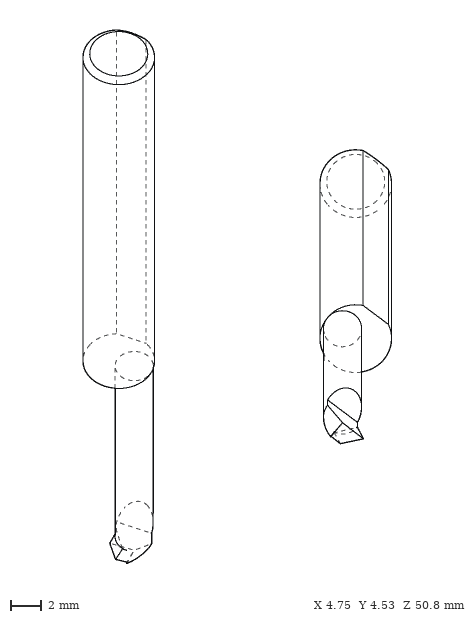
import cadquery as cq

total_length = 50.8
shank_diameter = 4.75
shank_radius = shank_diameter / 2
shank_flat_y = 2.15
shoulder_z = 19.1
chamfer_height = 0.35
chamfer_width = 0.45

neck_diameter = 2.55
neck_radius = neck_diameter / 2
neck_x = shank_radius - neck_radius
neck_front_y = -neck_radius

rake_y = 0.0
rake_ramp_z = 2.45
tip_top_z = 1.45
tip_reach_x = -0.65
tip_heel_z = 0.1
relief_shift = 0.95
bottom_relief = 0.15


def make_shank():
    blank = cq.Workplane("XY").workplane(offset=shoulder_z).circle(shank_radius)
    blank = blank.extrude(total_length - shoulder_z)
    blank = blank.faces(">Z").edges().chamfer(chamfer_height, chamfer_width)
    flat_cutter = cq.Workplane("XY").box(
        shank_diameter, shank_diameter, total_length, centered=(True, False, False)
    ).translate((0, shank_flat_y, 0))
    return blank.cut(flat_cutter)


def make_neck():
    neck = cq.Workplane("XY").center(neck_x, 0).circle(neck_radius).extrude(shoulder_z)

    rake_cutter = (
        cq.Workplane("YZ")
        .moveTo(rake_y, 0)
        .lineTo(rake_y, rake_ramp_z)
        .lineTo(rake_y + neck_diameter, rake_ramp_z + neck_diameter)
        .lineTo(rake_y + neck_diameter, 0)
        .close()
        .extrude(shank_diameter, both=True)
    )

    tip_cutter = cq.Workplane("XY").box(
        neck_diameter, 2 * neck_diameter, tip_top_z, centered=(False, True, False)
    ).translate((neck_x - neck_diameter, 0, 0))

    bevel_cutter = (
        cq.Workplane("XZ")
        .moveTo(neck_x, 0)
        .lineTo(neck_x, tip_heel_z)
        .lineTo(neck_x + neck_diameter, tip_heel_z + neck_diameter)
        .lineTo(neck_x + neck_diameter, 0)
        .close()
        .extrude(neck_diameter, both=True)
    )
    return neck.cut(rake_cutter).cut(tip_cutter).cut(bevel_cutter)


def make_tip():
    """Loft the tip from its rake outline to the smaller relieved outline."""
    flank_top_x = neck_x - neck_radius
    return (
        cq.Workplane("XZ", origin=(0, rake_y, 0))
        .polyline([
            (flank_top_x, tip_top_z),
            (tip_reach_x, 0),
            (neck_x, tip_heel_z),
            (neck_x, tip_top_z),
        ])
        .close()
        .workplane(offset=rake_y - neck_front_y)
        .polyline([
            (flank_top_x + relief_shift, tip_top_z),
            (tip_reach_x + relief_shift, bottom_relief),
            (neck_x, tip_heel_z + bottom_relief),
            (neck_x, tip_top_z),
        ])
        .close()
        .loft(ruled=True, combine=True)
    )


result = make_shank().union(make_neck()).union(make_tip())